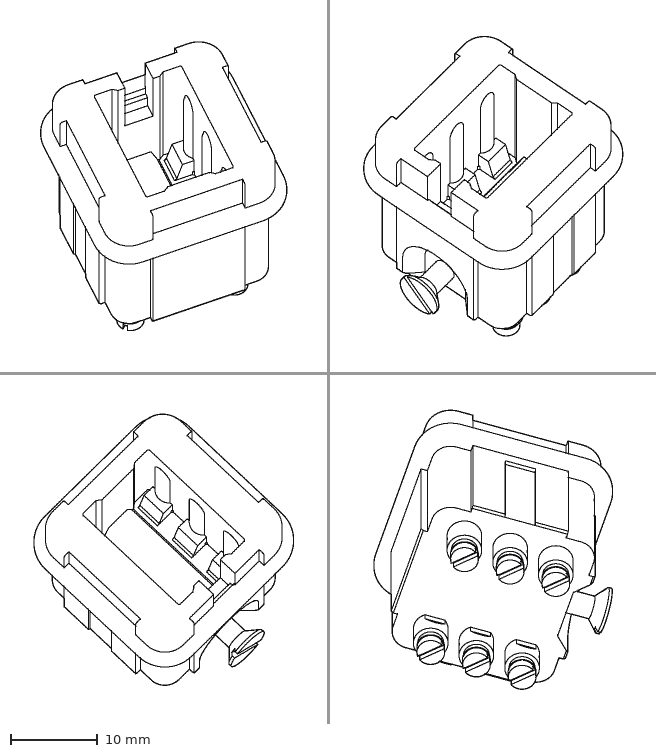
import cadquery as cq
import math

overlap = 0.27

total_height = 26.6
body_bottom = 5.43
ring_bottom = 19.43
ring_top = 21.9

pad_half = 10.5
core_half = 9.75
pad_half_width = 5.75
corner_center = 7.5
rim_fillet = 0.32
pad_chamfer = 0.27

ring_width = 23.7
ring_half = ring_width / 2
ring_round = 1.12

groove_width = 3.65
groove_depth = 0.27
groove_top = 17.94
groove_slope_height = 0.37

cavity_floor = 10.1
cavity_half_length = 7.8
cavity_half_width = 5.45
waist_half_length = 7.37
waist_start = 2.6
waist_end = 3.17
cavity_corner_fillet = 0.2

rib_base_half = 2.5
rib_toe_half = 2.3
rib_toe_height = 0.2
rib_top_half = 1.52
rib_height = 2.13
rib_round = 0.32
block_width = 3.11
block_base_y = 3.0
block_toe_y = 3.3
block_toe_height = 0.27
block_top_y = 4.0
block_height = 2.65

key_width = 3.5
key_step_x = -9.55
key_step_bottom = 20.75
key_deep_x = -8.97
key_deep_bottom = 19.15

screw_z = 8.65
overall_length = 25.35
screw_tip_x = ring_half - overall_length
head_radius = 2.75
head_rim_thickness = 0.37
head_cone_length = 1.28
shank_radius = 1.35
screw_slot_width = 0.7
screw_slot_depth = 0.75
screw_slot_angle = 45
arch_outer_radius = 4.85
arch_inner_radius = 3.03
arch_depth = 1.8

pin_pitch = 5.5
pin_row_spacing = 12.95
pin_row_y = pin_row_spacing / 2
pin_end_radius = 3.2 / 2
pin_neck_radius = 3.0 / 2
pin_collar_radius = 4 / 2
contact_radius = 3.2 / 2
pin_neck_bottom = 1.33
pin_collar_bottom = 2.15
collar_height = 0.53
collar_top = cavity_floor + collar_height
dome_base_z = 21.45
dome_arc_radius = 2.4
pin_slot_width = 0.53
pin_slot_height = 0.88
pin_slot_angle = -45
relief_bottom = 3.57
relief_slope_top = 4.52


def square_prism(half, bottom, top):
    """Square prism whose corners are rounded about the shared corner centres."""
    block = cq.Workplane("XY").workplane(offset=bottom).rect(2 * half, 2 * half).extrude(top - bottom)
    return block.edges("|Z").fillet(half - corner_center)


def upright_box(x_range, y_range, z_range):
    """Box given by its lower and upper limits along each axis."""
    sizes = [high - low for low, high in (x_range, y_range, z_range)]
    corner = (x_range[0], y_range[0], z_range[0])
    return cq.Workplane("XY").box(*sizes, centered=False).translate(corner)


def side_angles(count):
    """Evenly spaced turns about the Z axis."""
    return [360 / count * index for index in range(count)]


def turned(shape, angle):
    return shape.rotate((0, 0, 0), (0, 0, 1), angle)


def make_upper_body():
    """Top of the housing: four rounded corner pads around recessed side faces."""
    body = square_prism(pad_half, ring_bottom, total_height).faces(">Z").edges().fillet(rim_fillet)
    side_recess = upright_box(
        (core_half, pad_half + overlap),
        (-pad_half_width, pad_half_width),
        (ring_bottom, total_height + overlap),
    )
    for angle in side_angles(4):
        body = body.cut(turned(side_recess, angle))
    return body


def make_lower_body():
    """Bottom of the housing: a rounded core with a raised pad on each side."""
    body = square_prism(core_half, body_bottom, ring_top)
    pad = upright_box((0, pad_half), (-pad_half_width, pad_half_width), (body_bottom, ring_top))
    pad = pad.faces(">X").edges("<Z").chamfer(pad_chamfer)
    for angle in side_angles(4):
        body = body.union(turned(pad, angle))
    return body


def make_ring():
    ring = square_prism(ring_half, ring_bottom, ring_top)
    return ring.faces("<Z or >Z").edges().fillet(ring_round)


def make_grip_groove():
    """Shallow groove in the -Y face with a sloped upper end."""
    outside = -pad_half - overlap
    floor = -pad_half + groove_depth
    return (
        cq.Workplane("YZ")
        .moveTo(outside, body_bottom - overlap)
        .lineTo(floor, body_bottom - overlap)
        .lineTo(floor, groove_top - groove_slope_height)
        .lineTo(-pad_half, groove_top)
        .lineTo(outside, groove_top)
        .close()
        .extrude(groove_width / 2, both=True)
    )


def make_cavity():
    """Open cavity with a slightly narrower waist in the middle of its length."""
    outline = [
        (cavity_half_length, cavity_half_width),
        (cavity_half_length, waist_end),
        (waist_half_length, waist_start),
        (waist_half_length, -waist_start),
        (cavity_half_length, -waist_end),
        (cavity_half_length, -cavity_half_width),
    ]
    outline += [(-x, -y) for x, y in outline]
    cavity = cq.Workplane("XY").workplane(offset=cavity_floor).polyline(outline).close()
    cavity = cavity.extrude(total_height - cavity_floor + overlap)
    return cavity.edges("|Z").edges(">Y or <Y").fillet(cavity_corner_fillet)


def make_floor_rib():
    """Lengthwise rib on the cavity floor, with sloped flanks flatter at the toe and rounded at the top."""
    rib = (
        cq.Workplane("YZ")
        .polyline([
            (-rib_base_half, cavity_floor),
            (rib_base_half, cavity_floor),
            (rib_toe_half, cavity_floor + rib_toe_height),
            (rib_top_half, cavity_floor + rib_height),
            (-rib_top_half, cavity_floor + rib_height),
            (-rib_toe_half, cavity_floor + rib_toe_height),
        ])
        .close()
        .extrude(waist_half_length, both=True)
    )
    return rib.faces(">Z").edges("|X").fillet(rib_round)


def make_keyway():
    """Slot through the -X wall whose floor steps down towards the cavity."""
    keyway = None
    steps = [
        (-pad_half - overlap, ring_top),
        (key_step_x, key_step_bottom),
        (key_deep_x, key_deep_bottom),
    ]
    for start_x, bottom in steps:
        step = upright_box(
            (start_x, -waist_half_length + overlap),
            (-key_width / 2, key_width / 2),
            (bottom, total_height + overlap),
        )
        keyway = step if keyway is None else keyway.union(step)
    return keyway


def make_arch_relief():
    """Flared arch in the -X face, open at the bottom of the housing."""
    inner_x = -pad_half + arch_depth
    cone = (
        cq.Workplane("XZ")
        .polyline([
            (-pad_half, 0),
            (inner_x, 0),
            (inner_x, arch_inner_radius),
            (-pad_half, arch_outer_radius),
        ])
        .close()
        .revolve(360, (0, 0, 0), (1, 0, 0))
        .translate((0, 0, screw_z))
    )
    channel = (
        cq.Workplane("XY")
        .workplane(offset=body_bottom - overlap)
        .polyline([
            (-pad_half, -arch_outer_radius),
            (inner_x, -arch_inner_radius),
            (inner_x, arch_inner_radius),
            (-pad_half, arch_outer_radius),
        ])
        .close()
        .extrude(screw_z - body_bottom + overlap)
    )
    return cone.union(channel)


def make_screw():
    """Slotted countersunk screw along X, its shank ending inside the -X wall."""
    rim_x = screw_tip_x + head_rim_thickness
    neck_x = rim_x + head_cone_length
    shank_end_x = -waist_half_length - overlap
    screw = (
        cq.Workplane("XZ")
        .polyline([
            (screw_tip_x, 0),
            (screw_tip_x, head_radius),
            (rim_x, head_radius),
            (neck_x, shank_radius),
            (shank_end_x, shank_radius),
            (shank_end_x, 0),
        ])
        .close()
        .revolve(360, (0, 0, 0), (1, 0, 0))
    )
    slot = cq.Workplane("XY").box(2 * screw_slot_depth, 3 * head_radius, screw_slot_width)
    slot = slot.rotate((0, 0, 0), (1, 0, 0), screw_slot_angle).translate((screw_tip_x, 0, 0))
    return screw.cut(slot).translate((0, 0, screw_z))


def make_pin():
    """Stepped contact pin on the Z axis, with the housing centre towards +Y."""
    arc_center_x = contact_radius - dome_arc_radius
    dome_angle = math.acos(-arc_center_x / dome_arc_radius)
    dome_tip = (0, dome_base_z + dome_arc_radius * math.sin(dome_angle))
    dome_middle = (
        arc_center_x + dome_arc_radius * math.cos(dome_angle / 2),
        dome_base_z + dome_arc_radius * math.sin(dome_angle / 2),
    )
    pin = (
        cq.Workplane("XZ")
        .moveTo(0, 0)
        .lineTo(pin_end_radius, 0)
        .lineTo(pin_end_radius, pin_neck_bottom)
        .lineTo(pin_neck_radius, pin_neck_bottom)
        .lineTo(pin_neck_radius, pin_collar_bottom)
        .lineTo(pin_collar_radius, pin_collar_bottom)
        .lineTo(pin_collar_radius, collar_top)
        .lineTo(contact_radius, collar_top)
        .lineTo(contact_radius, dome_base_z)
        .threePointArc(dome_middle, dome_tip)
        .close()
        .revolve(360, (0, 0, 0), (0, 1, 0))
    )
    relief = (
        cq.Workplane("YZ")
        .polyline([
            (pin_collar_radius, relief_bottom),
            (contact_radius, relief_slope_top),
            (contact_radius, body_bottom),
            (pin_collar_radius, body_bottom),
        ])
        .close()
        .extrude(block_width / 2, both=True)
    )
    return pin.cut(relief)


def make_pin_slot():
    """Diagonal slot across the lower end of a pin."""
    slot = cq.Workplane("XY").box(3 * pin_end_radius, pin_slot_width, 2 * pin_slot_height)
    return turned(slot, pin_slot_angle)


def make_contact_block():
    """Block with a sloped front beside a pin of the -Y row, centred on X = 0."""
    return (
        cq.Workplane("YZ")
        .polyline([
            (-pin_row_y, cavity_floor),
            (-block_base_y, cavity_floor),
            (-block_toe_y, cavity_floor + block_toe_height),
            (-block_top_y, cavity_floor + block_height),
            (-pin_row_y, cavity_floor + block_height),
        ])
        .close()
        .extrude(block_width / 2, both=True)
    )


housing = make_lower_body().union(make_upper_body()).union(make_ring())
housing = housing.cut(make_cavity()).cut(make_keyway()).cut(make_arch_relief())
for side in side_angles(2):
    housing = housing.cut(turned(make_grip_groove(), side))

result = housing.union(make_floor_rib()).union(make_screw())
for side in side_angles(2):
    for column in (-1, 0, 1):
        column_x = column * pin_pitch
        result = result.union(turned(make_contact_block().translate((column_x, 0, 0)), side))
        result = result.union(turned(make_pin().translate((column_x, -pin_row_y, 0)), side))
        result = result.cut(turned(make_pin_slot().translate((column_x, -pin_row_y, 0)), side))